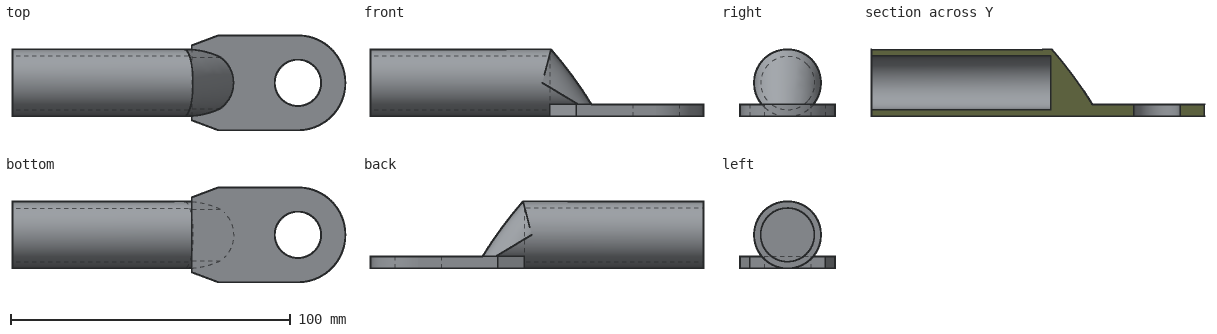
import cadquery as cq
import math

barrel_diameter = 24.0
bore_diameter = 19.2
barrel_radius = barrel_diameter / 2
barrel_top_length = 64.5
barrel_side_length = 61.4

palm_start = 64.0
palm_width = 34.0
palm_thickness = 4.3
palm_radius = palm_width / 2
palm_end = 119.0
stud_hole_diameter = 16.5
stud_hole_x = palm_end - palm_radius
neck_width = 26.8
taper_length = 9.6

bore_depth = palm_start

shoulder_end = 74.2
transition_tip = 79.0
ridge_bulge = 0.5
section_steps = 4


def make_barrel():
    """Solid round bar, cut back along the crease and the sloping shoulder."""
    bar = cq.Workplane("YZ").center(0, barrel_radius).circle(barrel_radius).extrude(shoulder_end)
    side_outline = (
        cq.Workplane("XZ")
        .moveTo(0, 0)
        .lineTo(shoulder_end, 0)
        .lineTo(shoulder_end, palm_thickness)
        .lineTo(barrel_side_length, barrel_radius)
        .lineTo(barrel_top_length, barrel_diameter)
        .lineTo(0, barrel_diameter)
        .close()
        .extrude(barrel_radius, both=True)
    )
    return bar.intersect(side_outline)


def transition_section(progress):
    """Closed arch section: progress 0 is the crease, progress 1 lies on the palm."""
    chord_x = barrel_side_length + progress * (shoulder_end - barrel_side_length)
    chord_z = barrel_radius + progress * (palm_thickness - barrel_radius)
    half_width = math.sqrt(barrel_radius**2 - (chord_z - barrel_radius) ** 2)

    ridge = cq.Vector(transition_tip - barrel_top_length, 0, palm_thickness - barrel_diameter)
    ridge_normal = cq.Vector(-ridge.z, 0, ridge.x).normalized()
    bulge = 4 * ridge_bulge * progress * (1 - progress)
    apex = cq.Vector(barrel_top_length, 0, barrel_diameter) + ridge * progress + ridge_normal * bulge

    chord_middle = cq.Vector(chord_x, 0, chord_z)
    rise = apex - chord_middle
    across = cq.Vector(0, 1, 0)
    plane = cq.Plane(origin=chord_middle, xDir=across, normal=across.cross(rise))
    sketch = cq.Workplane(plane)
    if progress == 0:
        sketch = sketch.ellipseArc(half_width, rise.Length, 0, 180, startAtCurrent=False)
    else:
        sketch = sketch.moveTo(half_width, 0).threePointArc((0, rise.Length), (-half_width, 0))
    return sketch.close().val()


def make_transition():
    """Smooth cap lofted from the crease, over the shoulder, down to an arc on the palm."""
    sections = [transition_section(i / section_steps) for i in range(section_steps + 1)]
    return cq.Workplane(cq.Solid.makeLoft(sections))


def make_palm():
    """Flat plate with a tapered neck, a round end and a stud hole."""
    taper_end = palm_start + taper_length
    return (
        cq.Workplane("XY")
        .moveTo(palm_start, -neck_width / 2)
        .lineTo(taper_end, -palm_radius)
        .lineTo(stud_hole_x, -palm_radius)
        .threePointArc((palm_end, 0), (stud_hole_x, palm_radius))
        .lineTo(taper_end, palm_radius)
        .lineTo(palm_start, neck_width / 2)
        .close()
        .moveTo(stud_hole_x, 0)
        .circle(stud_hole_diameter / 2)
        .extrude(palm_thickness)
    )


def make_bore():
    """Blind conductor bore, open at X = 0."""
    return cq.Workplane("YZ").center(0, barrel_radius).circle(bore_diameter / 2).extrude(bore_depth)


barrel_body = make_barrel()
transition = make_transition()
result = barrel_body.union(transition).union(make_palm()).cut(make_bore())